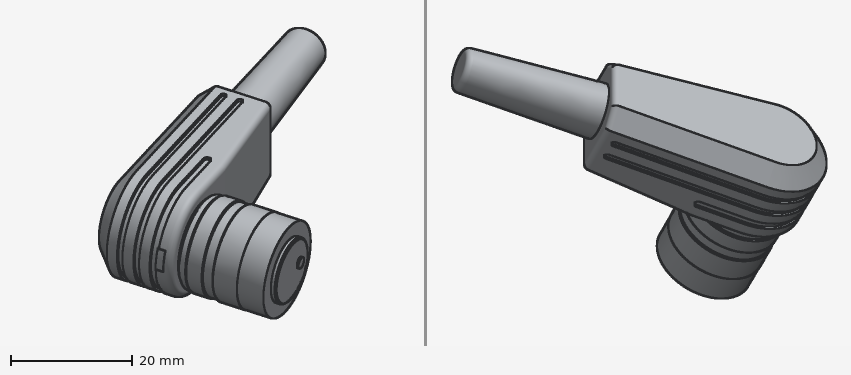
import cadquery as cq
import math


nose_radius = 9.975
taper_angle = math.radians(4.0)
housing_depth = 15.05
housing_end_y = 29.45
back_chamfer = 3.1
front_edge_radius = 1.2
end_edge_radius = 1.0
slope_start_y = 9.4
slope_end_depth = 13.3

cut_reach = 2 * nose_radius

groove_depth = 0.5
grip_grooves = [(5.0, 6.0, 27.5), (8.05, 9.1, 27.5), (11.05, 12.35, 10.0)]

marker_start_x = 12.2
marker_end_x = 13.6
marker_low_z = 0.05
marker_high_z = 3.9
marker_height = 0.08
marker_root = 0.1
marker_lip_low_z = -4.0
marker_lip_end_x = 12.6

overall_length_y = 64.3
sleeve_x = 6.82
sleeve_base_diameter = 9.6
sleeve_tip_diameter = 7.65
sleeve_tip_y = overall_length_y - nose_radius - marker_height
sleeve_tip_radius = 1.0

neck_diameter = 15.0
collar_diameter = 16.6
ring_diameter = 17.0
front_diameter = 16.9
insert_diameter = 11.6
collar_start = 15.4
collar_edge_radius = 0.65
collar_end = 16.8
ring_start = 17.1
ring_end = 19.95
groove_start = 20.1
groove_end = 21.85
wide_ring_start = 22.05
wide_ring_end = 26.5
nut_end = 31.4
insert_end = 32.35
insert_chamfer = 0.25

key_diameter = 2.0
key_y = 2.65
key_end = 32.65


def teardrop_prism(radius, length):
    """Extrude the teardrop outline along X; its straight sides are tangent to the nose arc."""
    tangent_y = radius * math.sin(taper_angle)
    tangent_z = radius * math.cos(taper_angle)
    end_z = tangent_z - (housing_end_y - tangent_y) * math.tan(taper_angle)
    return (
        cq.Workplane("YZ")
        .moveTo(housing_end_y, end_z)
        .lineTo(tangent_y, tangent_z)
        .threePointArc((-radius, 0), (tangent_y, -tangent_z))
        .lineTo(housing_end_y, -end_z)
        .close()
        .extrude(length)
    )


def edges_short_of_end(lowest_x):
    """Select edges centred in front of lowest_x, leaving out the cable end of the housing."""
    return cq.selectors.BoxSelector(
        (lowest_x, -cut_reach, -cut_reach), (cut_reach, housing_end_y - back_chamfer, cut_reach)
    )


def make_housing():
    body = teardrop_prism(nose_radius, housing_depth)
    slope_cut = (
        cq.Workplane("XY")
        .moveTo(housing_depth, slope_start_y)
        .lineTo(slope_end_depth, housing_end_y)
        .lineTo(housing_depth, housing_end_y)
        .close()
        .extrude(cut_reach, both=True)
    )
    body = body.cut(slope_cut)
    back_edges = body.faces("<X").edges().edges(edges_short_of_end(-back_chamfer))
    body = back_edges.chamfer(back_chamfer)
    upright = cq.selectors.ParallelDirSelector(cq.Vector(0, 0, 1))
    front_edges = body.edges(edges_short_of_end(housing_depth - back_chamfer) - upright)
    body = front_edges.fillet(front_edge_radius)
    return body.faces(">Y").edges().fillet(end_edge_radius)


def make_grip_groove(start_x, end_x, end_y):
    """Round-ended channel around the nose, its floor parallel to the housing wall."""
    half_width = (end_x - start_x) / 2
    channel = (
        cq.Workplane("XY")
        .moveTo(start_x, -cut_reach)
        .lineTo(start_x, end_y - half_width)
        .threePointArc((start_x + half_width, end_y), (end_x, end_y - half_width))
        .lineTo(end_x, -cut_reach)
        .close()
        .extrude(cut_reach, both=True)
    )
    return channel.cut(teardrop_prism(nose_radius - groove_depth, housing_depth))


def make_nose_patch(outer_radius, start_x, end_x, low_z, high_z):
    """Piece of a cylindrical shell on the nose, bounded in X and Z."""
    shell = (
        cq.Workplane("YZ", origin=(start_x, 0, 0))
        .circle(outer_radius)
        .circle(nose_radius - groove_depth - marker_root)
        .extrude(end_x - start_x)
    )
    window = cq.Workplane("XY").box(
        end_x - start_x, outer_radius, high_z - low_z, centered=False
    )
    return shell.intersect(window.translate((start_x, -outer_radius, low_z)))


def make_marker():
    """Raised block beside the short groove, with a flush lip below it inside the groove."""
    block = make_nose_patch(
        nose_radius + marker_height, marker_start_x, marker_end_x, marker_low_z, marker_high_z
    )
    lip = make_nose_patch(nose_radius, marker_start_x, marker_lip_end_x, marker_lip_low_z, marker_low_z)
    return block.union(lip)


def make_sleeve():
    """Tapered cable sleeve with a rounded tip, rooted inside the housing."""
    base_radius = sleeve_base_diameter / 2
    tip_radius = sleeve_tip_diameter / 2
    root_y = housing_end_y - end_edge_radius
    return (
        cq.Workplane("XY")
        .moveTo(sleeve_x, root_y)
        .lineTo(sleeve_x + base_radius, root_y)
        .lineTo(sleeve_x + base_radius, housing_end_y)
        .lineTo(sleeve_x + tip_radius, sleeve_tip_y)
        .lineTo(sleeve_x, sleeve_tip_y)
        .close()
        .revolve(360, (sleeve_x, 0), (sleeve_x, 1))
        .faces(">Y")
        .edges()
        .fillet(sleeve_tip_radius)
    )


def make_disc(diameter, start_x, end_x):
    return cq.Workplane("YZ", origin=(start_x, 0, 0)).circle(diameter / 2).extrude(end_x - start_x)


def make_cone(start_diameter, end_diameter, start_x, end_x):
    return (
        cq.Workplane("YZ", origin=(start_x, 0, 0))
        .circle(start_diameter / 2)
        .workplane(offset=end_x - start_x)
        .circle(end_diameter / 2)
        .loft()
    )


def make_coupling():
    """Coupling nut: collar, narrow ring, groove, wide ring, front sleeve, insert and key."""
    neck = make_disc(neck_diameter, housing_depth, collar_start)
    collar = make_disc(collar_diameter, collar_start, collar_end)
    collar = collar.faces("<X").edges().fillet(collar_edge_radius)
    insert = make_disc(insert_diameter, nut_end, insert_end)
    insert = insert.faces(">X").edges().chamfer(insert_chamfer)
    key = make_disc(key_diameter, nut_end, key_end).translate((0, key_y, 0))
    parts = [
        collar,
        make_cone(collar_diameter, ring_diameter, collar_end, ring_start),
        make_disc(ring_diameter, ring_start, ring_end),
        make_cone(ring_diameter, collar_diameter, ring_end, groove_start),
        make_disc(collar_diameter, groove_start, groove_end),
        make_cone(collar_diameter, ring_diameter, groove_end, wide_ring_start),
        make_disc(ring_diameter, wide_ring_start, wide_ring_end),
        make_disc(front_diameter, wide_ring_end, nut_end),
        insert,
        key,
    ]
    coupling = neck
    for part in parts:
        coupling = coupling.union(part)
    return coupling


housing = make_housing()
for start_x, end_x, end_y in grip_grooves:
    housing = housing.cut(make_grip_groove(start_x, end_x, end_y))

result = housing.union(make_marker()).union(make_sleeve()).union(make_coupling())